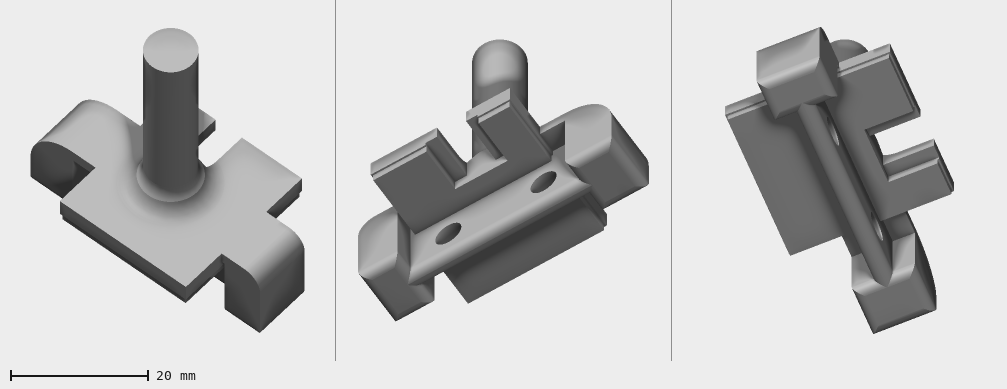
import cadquery as cq
import math

total_height = 46.0

body_left = -22.55
body_length = 43.85
body_width = 10.0
body_height = 14.0
nose_radius = 8.0
heel_radius = 3.0
bottom_radius = 1.45

recess_length = 29.0
recess_roof = 2.0
web_thickness = 3.0

hole_diameter = 4.5
hole_depth_below_top = 8.92
left_hole_x = -8.5
hole_spacing = 16.45

plate_left = -10.1
plate_length = 24.1
plate_width = 26.0
plate_thickness = 3.05
step_inset = 0.28
step_thickness = 1.4

slot_width = 5.0
slot_lip_width = 2.02
slot_lip_thickness = 2.5

shaft_radius = 4.05
collar_radius = 4.95
collar_height = 2.0
flare_radius = 7.8
flare_height = 4.25


def block(left, length, width, top, height):
    """Box centred on Y, hanging down from the given top level."""
    return cq.Workplane("XY").box(length, width, height, centered=(False, True, False)).translate(
        (left, 0, top - height)
    )


def make_body():
    body = block(body_left, body_length, body_width, 0, body_height)
    body = body.edges(">Z and <X").fillet(nose_radius)
    body = body.edges(">Z and >X").fillet(heel_radius)

    recess_depth = (body_width - web_thickness) / 2
    recess_center = (web_thickness + recess_depth) / 2
    recess = block(-recess_length / 2, recess_length, recess_depth, -recess_roof, body_height)
    for side in (-1, 1):
        body = body.cut(recess.translate((0, side * recess_center, 0)))

    return body.faces("<Z").edges().fillet(bottom_radius)


def make_plate():
    plate = block(plate_left, plate_length, plate_width, 0, plate_thickness)
    step = block(
        plate_left + step_inset,
        plate_length - 2 * step_inset,
        plate_width - 2 * step_inset,
        -plate_thickness,
        step_thickness,
    )
    return plate.union(step)


def concave_midpoint(lower, upper, radius):
    """Middle of the arc from lower to upper that bows towards the shaft axis."""
    run = upper[0] - lower[0]
    rise = upper[1] - lower[1]
    chord = math.hypot(run, rise)
    sagitta = radius - math.sqrt(radius**2 - (chord / 2) ** 2)
    return (
        (lower[0] + upper[0]) / 2 - sagitta * rise / chord,
        (lower[1] + upper[1]) / 2 + sagitta * run / chord,
    )


def tangent_radius(along, across):
    """Radius of an arc that leaves its tangent line by across after running along it."""
    return (along**2 + across**2) / (2 * across)


def make_shaft():
    foot = (flare_radius, 0)
    collar = (collar_radius, collar_height)
    neck = (shaft_radius, flare_height)
    lower_radius = tangent_radius(flare_radius - collar_radius, collar_height)
    upper_radius = tangent_radius(flare_height - collar_height, collar_radius - shaft_radius)
    shaft_top = total_height - body_height
    root = -plate_thickness

    return (
        cq.Workplane("XZ")
        .moveTo(0, root)
        .lineTo(flare_radius, root)
        .lineTo(*foot)
        .threePointArc(concave_midpoint(foot, collar, lower_radius), collar)
        .threePointArc(concave_midpoint(collar, neck, upper_radius), neck)
        .lineTo(shaft_radius, shaft_top)
        .lineTo(0, shaft_top)
        .close()
        .revolve(360, (0, 0, 0), (0, 1, 0))
    )


def make_slot():
    slot_length = (plate_width - body_width) / 2
    slot_center = (body_width + slot_length) / 2
    lower_width = slot_width + 2 * slot_lip_width
    lower_height = plate_thickness + step_thickness - slot_lip_thickness
    upper_slot = cq.Workplane("XY").box(slot_width, slot_length, total_height)
    lower_slot = block(-lower_width / 2, lower_width, slot_length, -slot_lip_thickness, lower_height)
    return upper_slot.union(lower_slot).translate((0, slot_center, 0))


def make_cross_holes():
    return (
        cq.Workplane("XZ", origin=(0, body_width / 2, 0))
        .pushPoints([(left_hole_x + i * hole_spacing, -hole_depth_below_top) for i in range(2)])
        .circle(hole_diameter / 2)
        .extrude(body_width)
    )


result = make_body().union(make_plate()).union(make_shaft()).cut(make_slot()).cut(make_cross_holes())